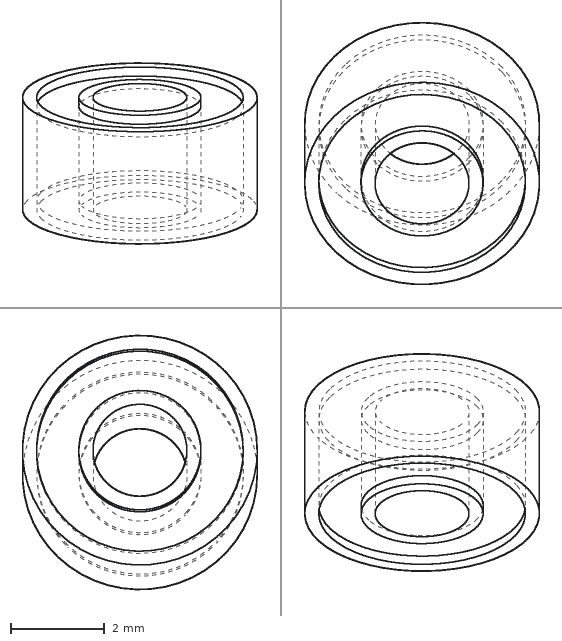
import cadquery as cq

outer_diameter = 5.0
bore_diameter = 2.0
width = 2.5
ring_wall = 0.3
shield_recess = 0.2

outer_ring_bore = outer_diameter - 2 * ring_wall
inner_ring_diameter = bore_diameter + 2 * ring_wall
shield_width = width - 2 * shield_recess


def make_ring(outside, inside, length):
    """Plain ring around Z, centred on the origin."""
    return (
        cq.Workplane("XY", origin=(0, 0, -length / 2))
        .circle(outside / 2)
        .circle(inside / 2)
        .extrude(length)
    )


outer_ring = make_ring(outer_diameter, outer_ring_bore, width)

inner_ring = make_ring(inner_ring_diameter, bore_diameter, width)

shield = make_ring(outer_ring_bore, inner_ring_diameter, shield_width)

result = cq.Compound.makeCompound([outer_ring.val(), inner_ring.val(), shield.val()])